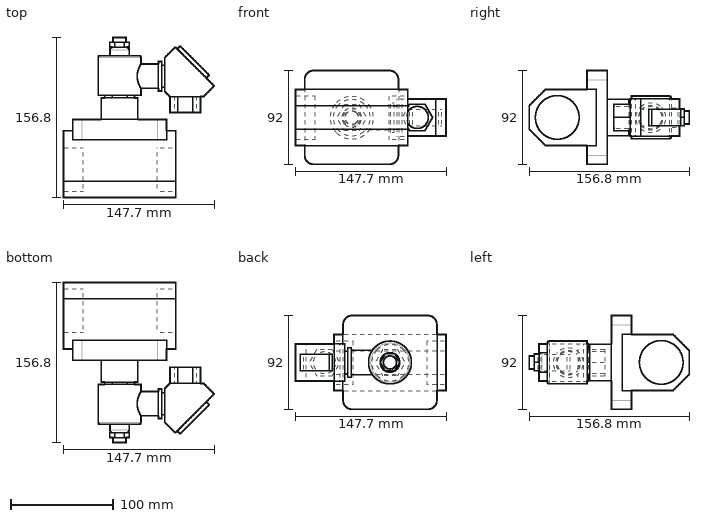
import cadquery as cq
import math


OVERALL_LENGTH = 156.8

BLOCK_LENGTH = 110.0
BLOCK_HEIGHT = 55.0
BLOCK_CHAMFER = 16.0
BLOCK_FRONT_Y = -BLOCK_HEIGHT / 2
BLOCK_BACK_Y = 38.0
PORT_DIAMETER = 42.8
PORT_DEPTH = 18.8
FLANGE_SIZE = 92.0
FLANGE_CORNER_RADIUS = 9.1
FLANGE_FRONT_Y = 29.0
FLANGE_BACK_Y = 49.0
STEM_DIAMETER = 35.9
STEM_END_Y = 70.1
STEM_HEX_FLATS = 25.4

COIL_DIAMETER = 42.0
COIL_FRONT_Y = 72.5
COIL_BACK_Y = 111.5
COIL_FILLET = 1.9
COLLAR_DIAMETER = 19.1
COLLAR_END_Y = 119.6
COLLAR_FILLET = 2.7
NUT_FLATS = 16.6
NUT_END_Y = 124.5
STUD_DIAMETER = 12.9
STUD_END_Y = BLOCK_FRONT_Y + OVERALL_LENGTH
ARM_AXIS_Y = 91.3
ARM_DIAMETER = 24.0
ARM_END_X = 38.1
ARM_FLANGE_DIAMETER = 29.2
ARM_FLANGE_END_X = 41.4
NECK_DIAMETER = 21.8

HOUSING_WIDTH = 36.5
HOUSING_LEFT_X = 44.2
HOUSING_RIGHT_X = 92.7
HOUSING_FRONT_Y = 71.3
HOUSING_LOWER_CHAMFER = 4.9
HOUSING_UPPER_CHAMFER = 10.3
HOUSING_LEFT_TOP_Y = 109.5
COVER_OFFSET = 2.7
COVER_LENGTH = 40.3
COVER_THICKNESS = 4.0
COVER_WIDTH = 16.3
GLAND_AXIS_X = 64.3
GLAND_FLATS = 26.0
GLAND_END_Y = 55.5
GLAND_BORE_DIAMETER = 21.6


def hex_corners(flats):
    """Distance across the corners of a hexagon, from the distance across its flats."""
    return flats / math.cos(math.radians(30))


def section_at_y(y, center_x=0):
    """Workplane facing +Y at the given Y, centred on X = center_x and Z = 0."""
    return cq.Workplane("XZ", origin=(center_x, y, 0)).transformed(rotate=(180, 0, 0))


def cylinder_y(diameter, start_y, end_y, center_x=0):
    return section_at_y(start_y, center_x).circle(diameter / 2).extrude(end_y - start_y)


def hexagon_y(flats, start_y, end_y, center_x=0):
    """Hexagonal prism along Y with two corners on the X direction."""
    return section_at_y(start_y, center_x).polygon(6, hex_corners(flats)).extrude(end_y - start_y)


def cylinder_x(diameter, start_x, end_x, center_y=0):
    plane = cq.Workplane("YZ", origin=(start_x, center_y, 0))
    return plane.circle(diameter / 2).extrude(end_x - start_x)


def make_valve_body():
    block = (
        cq.Workplane("XY")
        .box(BLOCK_LENGTH, BLOCK_BACK_Y - BLOCK_FRONT_Y, BLOCK_HEIGHT)
        .translate((0, (BLOCK_BACK_Y + BLOCK_FRONT_Y) / 2, 0))
        .edges("|X and <Y")
        .chamfer(BLOCK_CHAMFER)
    )
    flange = (
        section_at_y(FLANGE_FRONT_Y)
        .rect(FLANGE_SIZE, FLANGE_SIZE)
        .extrude(FLANGE_BACK_Y - FLANGE_FRONT_Y)
        .edges("|Y")
        .fillet(FLANGE_CORNER_RADIUS)
    )
    stem = cylinder_y(STEM_DIAMETER, FLANGE_BACK_Y, STEM_END_Y)
    stem_hex = hexagon_y(STEM_HEX_FLATS, STEM_END_Y, COIL_FRONT_Y)
    body = block.union(flange).union(stem).union(stem_hex)

    for side in (-1, 1):
        end_x = side * BLOCK_LENGTH / 2
        body = body.cut(cylinder_x(PORT_DIAMETER, end_x, end_x - side * PORT_DEPTH))
    return body


def make_coil():
    winding = cylinder_y(COIL_DIAMETER, COIL_FRONT_Y, COIL_BACK_Y).faces(">Y").edges().fillet(COIL_FILLET)
    collar = cylinder_y(COLLAR_DIAMETER, COIL_BACK_Y, COLLAR_END_Y).faces(">Y").edges().fillet(COLLAR_FILLET)
    nut = hexagon_y(NUT_FLATS, COLLAR_END_Y, NUT_END_Y)
    stud = cylinder_y(STUD_DIAMETER, NUT_END_Y, STUD_END_Y)
    arm = cylinder_x(ARM_DIAMETER, 0, ARM_END_X, ARM_AXIS_Y)
    arm_flange = cylinder_x(ARM_FLANGE_DIAMETER, ARM_END_X, ARM_FLANGE_END_X, ARM_AXIS_Y)
    neck = cylinder_x(NECK_DIAMETER, ARM_FLANGE_END_X, HOUSING_LEFT_X, ARM_AXIS_Y)
    return winding.union(collar).union(nut).union(stud).union(arm).union(arm_flange).union(neck)


def make_connector():
    peak_x = HOUSING_LEFT_X + HOUSING_UPPER_CHAMFER
    peak_y = HOUSING_LEFT_TOP_Y + HOUSING_UPPER_CHAMFER
    tip_y = peak_y - (HOUSING_RIGHT_X - peak_x)
    housing = (
        cq.Workplane("XY")
        .polyline([
            (HOUSING_LEFT_X, HOUSING_FRONT_Y + HOUSING_LOWER_CHAMFER),
            (HOUSING_LEFT_X, HOUSING_LEFT_TOP_Y),
            (peak_x, peak_y),
            (HOUSING_RIGHT_X, tip_y),
            (HOUSING_RIGHT_X - (tip_y - HOUSING_FRONT_Y), HOUSING_FRONT_Y),
            (HOUSING_LEFT_X + HOUSING_LOWER_CHAMFER, HOUSING_FRONT_Y),
        ])
        .close()
        .extrude(HOUSING_WIDTH / 2, both=True)
    )

    slope = cq.Plane(origin=(peak_x, peak_y, 0), xDir=(1, -1, 0), normal=(1, 1, 0))
    cover = (
        cq.Workplane(slope)
        .center(COVER_OFFSET + COVER_LENGTH / 2, 0)
        .rect(COVER_LENGTH, COVER_WIDTH)
        .extrude(COVER_THICKNESS)
    )

    gland = hexagon_y(GLAND_FLATS, GLAND_END_Y, HOUSING_FRONT_Y, GLAND_AXIS_X)
    gland_bore = cylinder_y(GLAND_BORE_DIAMETER, GLAND_END_Y, HOUSING_FRONT_Y, GLAND_AXIS_X)
    return housing.union(cover).union(gland.cut(gland_bore))


valve_body = make_valve_body()
coil = make_coil()
connector = make_connector()

result = cq.Compound.makeCompound([valve_body.val(), coil.val(), connector.val()])